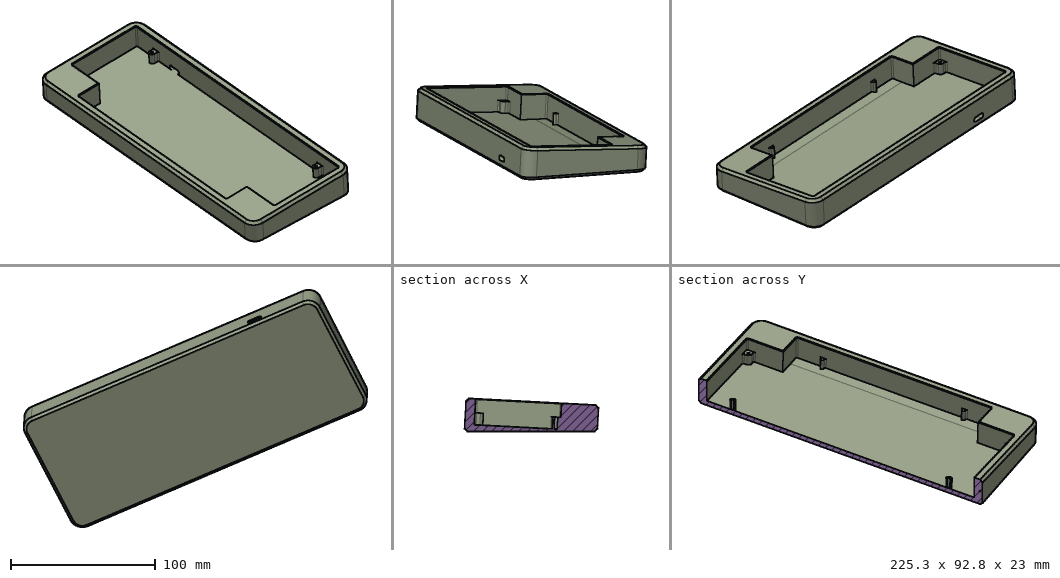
import cadquery as cq
import math

TYPING_ANGLE = 3.0
KEY_PITCH = 19.05
KEY_CLEARANCE = 1.05
WALL = 6.825
TOP_HEIGHT = 20.69
CORNER_RADIUS = 9.0
OUTER_CHAMFER = 2.0

KEY_COLUMNS = 11
KEY_ROWS = 4
FRONT_ROW_COLUMNS = 8
CAVITY_LENGTH = KEY_COLUMNS * KEY_PITCH + 2 * KEY_CLEARANCE
CAVITY_WIDTH = KEY_ROWS * KEY_PITCH + 2 * KEY_CLEARANCE
FRONT_ROW_LENGTH = FRONT_ROW_COLUMNS * KEY_PITCH + 2 * KEY_CLEARANCE
CAVITY_DEPTH = 18.0
CAVITY_CORNER_RADIUS = 1.0
LIP_CHAMFER = 0.5
MIN_FLOOR = 1.05

BODY_LENGTH = CAVITY_LENGTH + 2 * WALL
BODY_WIDTH = CAVITY_WIDTH + 2 * WALL
FLOOR_HEIGHT = TOP_HEIGHT - CAVITY_DEPTH
HALF_LENGTH = CAVITY_LENGTH / 2
HALF_WIDTH = CAVITY_WIDTH / 2
HALF_FRONT_ROW = FRONT_ROW_LENGTH / 2
FRONT_ROW_STEP = KEY_PITCH - HALF_WIDTH

POST_HEIGHT = 8.25
POST_TOP = FLOOR_HEIGHT + POST_HEIGHT
BACK_POST_RADIUS = 2.25
CORNER_POST_RADIUS = 2.5
SUPPORT_RADIUS = 1.3
POST_HOLE_DIAMETER = 1.8
POST_ROOT_FILLET = 1.0
BACK_POST_X = 85.7
BACK_POST_Y = 35.6
CORNER_POST_X = 102.75
CORNER_POST_Y = -17.0
FRONT_SUPPORT_X = 56.0
FRONT_SUPPORT_Y = -37.8
ROOT_DEPTH = 1.0

SLOT_CENTRE_X = -66.8
SLOT_LENGTH = 10.0
SLOT_HEIGHT = 3.5
SLOT_CENTRE_HEIGHT = FLOOR_HEIGHT + SLOT_HEIGHT / 2

BIG = 300.0


def tip(solid):
    return solid.rotate((0, 0, 0), (1, 0, 0), TYPING_ANGLE)


def half_space_above(height):
    return cq.Workplane("XY").workplane(offset=height).rect(BIG, BIG).extrude(BIG)


def make_body():
    block = (
        cq.Workplane("XY")
        .workplane(offset=-TOP_HEIGHT)
        .rect(BODY_LENGTH, BODY_WIDTH)
        .extrude(2 * TOP_HEIGHT)
        .edges("|Z")
        .fillet(CORNER_RADIUS)
        .faces(">Z")
        .chamfer(OUTER_CHAMFER)
    )
    body = tip(block).intersect(half_space_above(0))
    return body.faces("<Z").chamfer(OUTER_CHAMFER)


def cavity_outline():
    return [
        (-HALF_LENGTH, HALF_WIDTH),
        (HALF_LENGTH, HALF_WIDTH),
        (HALF_LENGTH, FRONT_ROW_STEP),
        (HALF_FRONT_ROW, FRONT_ROW_STEP),
        (HALF_FRONT_ROW, -HALF_WIDTH),
        (-HALF_FRONT_ROW, -HALF_WIDTH),
        (-HALF_FRONT_ROW, FRONT_ROW_STEP),
        (-HALF_LENGTH, FRONT_ROW_STEP),
    ]


def fillet_upright(solid, corner, height, radius):
    """Round the vertical edge of a solid that passes through the given corner."""
    edge = cq.selectors.NearestToPointSelector((*corner, height))
    return solid.edges("|Z").edges(edge).fillet(radius)


def make_cavity():
    cavity = (
        cq.Workplane("XY")
        .workplane(offset=FLOOR_HEIGHT)
        .polyline(cavity_outline())
        .close()
        .extrude(CAVITY_DEPTH)
    )
    mid_height = FLOOR_HEIGHT + CAVITY_DEPTH / 2
    step_corners = [(side * HALF_FRONT_ROW, FRONT_ROW_STEP) for side in (-1, 1)]
    for corner in cavity_outline():
        if corner not in step_corners:
            cavity = fillet_upright(cavity, corner, mid_height, CAVITY_CORNER_RADIUS)
    lip = (
        cavity.faces(">Z")
        .wires()
        .toPending()
        .workplane()
        .offset2D(LIP_CHAMFER, "intersection")
        .extrude(-LIP_CHAMFER, taper=45)
    )
    return tip(cavity.union(lip)).intersect(half_space_above(MIN_FLOOR))


def upright_block(x_range, y_range):
    """Block between two X and two Y values, from just inside the floor up to the post tops."""
    bottom = FLOOR_HEIGHT - ROOT_DEPTH
    size = (abs(x_range[1] - x_range[0]), abs(y_range[1] - y_range[0]), POST_TOP - bottom)
    centre = (sum(x_range) / 2, sum(y_range) / 2, (bottom + POST_TOP) / 2)
    return cq.Workplane("XY").box(*size).translate(centre)


def make_cylinder(x, y, radius, bottom):
    return cq.Workplane("XY", origin=(x, y, bottom)).circle(radius).extrude(POST_TOP - bottom)


def make_wall_post(x, y, radius, wall_y):
    """Post joined at its full width to a wall that runs along X."""
    wall_back = wall_y + math.copysign(ROOT_DEPTH, wall_y)
    post = make_cylinder(x, y, radius, FLOOR_HEIGHT - ROOT_DEPTH)
    post = post.union(upright_block((x - radius, x + radius), (y, wall_back)))
    post = post.union(upright_block((x - 2 * radius, x + 2 * radius), (wall_y, wall_back)))
    for side in (-1, 1):
        post = fillet_upright(post, (x + side * radius, wall_y), FLOOR_HEIGHT, POST_ROOT_FILLET)
    return post


def make_corner_post(side):
    """Post that fills the corner between an end wall and the step of the front row."""
    x = side * CORNER_POST_X
    y = CORNER_POST_Y
    inner_x = x - side * CORNER_POST_RADIUS
    back_y = y + CORNER_POST_RADIUS
    wall_x = side * HALF_LENGTH
    wall_y = FRONT_ROW_STEP
    root_x = wall_x + side * ROOT_DEPTH
    root_y = wall_y - ROOT_DEPTH
    post = make_cylinder(x, y, CORNER_POST_RADIUS, FLOOR_HEIGHT - ROOT_DEPTH)
    post = post.union(upright_block((inner_x, root_x), (root_y, y)))
    post = post.union(upright_block((x, root_x), (root_y, back_y)))
    post = post.union(upright_block((inner_x - side * CORNER_POST_RADIUS, root_x), (root_y, wall_y)))
    post = post.union(upright_block((wall_x, root_x), (root_y, back_y + CORNER_POST_RADIUS)))
    for corner in ((inner_x, wall_y), (wall_x, back_y)):
        post = fillet_upright(post, corner, FLOOR_HEIGHT, POST_ROOT_FILLET)
    return post


def make_posts():
    posts = cq.Workplane("XY")
    for side in (-1, 1):
        posts = posts.add(make_wall_post(side * BACK_POST_X, BACK_POST_Y, BACK_POST_RADIUS, HALF_WIDTH))
        posts = posts.add(make_corner_post(side))
        posts = posts.add(
            make_wall_post(side * FRONT_SUPPORT_X, FRONT_SUPPORT_Y, SUPPORT_RADIUS, -HALF_WIDTH)
        )
    return posts.combine()


def make_post_holes():
    holes = cq.Workplane("XY")
    for side in (-1, 1):
        for x, y in ((BACK_POST_X, BACK_POST_Y), (CORNER_POST_X, CORNER_POST_Y)):
            holes = holes.add(make_cylinder(side * x, y, POST_HOLE_DIAMETER / 2, FLOOR_HEIGHT))
    return holes.combine()


def make_slot():
    return (
        cq.Workplane("XZ", origin=(SLOT_CENTRE_X, HALF_WIDTH - ROOT_DEPTH, SLOT_CENTRE_HEIGHT))
        .slot2D(SLOT_LENGTH, SLOT_HEIGHT)
        .extrude(-2 * WALL)
    )


trimmed_posts = tip(make_posts()).intersect(half_space_above(MIN_FLOOR / 2))

result = (
    make_body()
    .cut(make_cavity())
    .union(trimmed_posts)
    .cut(tip(make_post_holes()))
    .cut(tip(make_slot()))
)